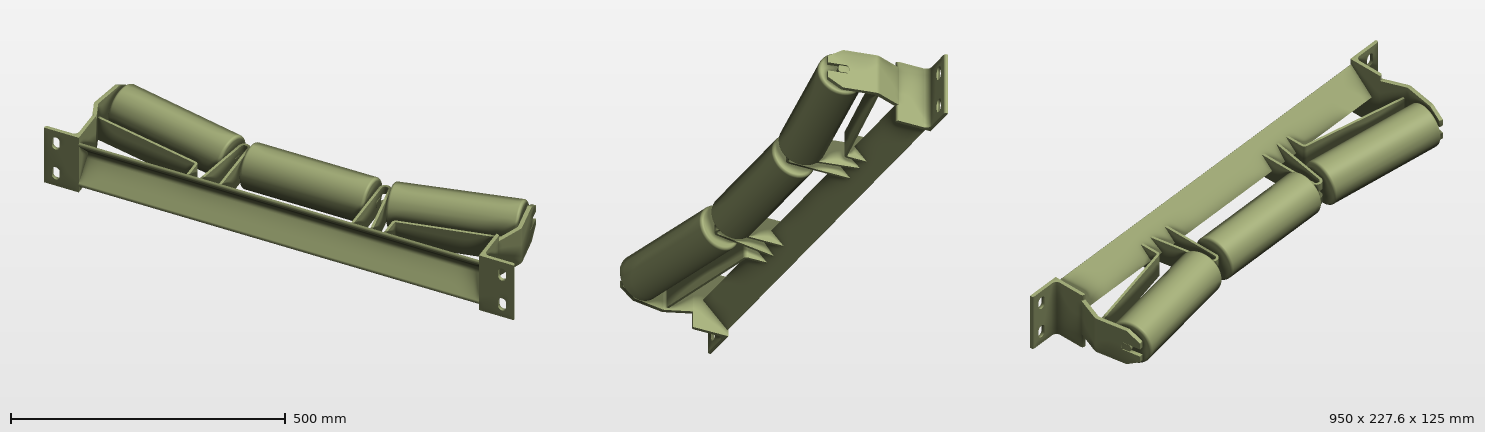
import cadquery as cq
import math


TOTAL_LENGTH = 950
TROUGH_ANGLE = 10
TILT_ANGLE = 2.3

IRON_THICKNESS = 7.0
IRON_ROOT_RADIUS = 10.0
IRON_TOE_RADIUS = 5.0

BEAM_LEG = 71.0
BEAM_APEX_Y = 52.0
BEAM_LENGTH = 809.0

FOOT_HEIGHT = 125.0
FOOT_UPRIGHT = 72.0
FOOT_WIDTH = (TOTAL_LENGTH - BEAM_LENGTH) / 2
SLOT_WIDTH = 16.0
SLOT_LENGTH = 28.0
SLOT_PITCH = 68.0
SLOT_INSET = 24.0

ROLLER_RADIUS = 45.0
ROLLER_LENGTH = 250.0
ROLLER_EDGE_RADIUS = 6.0
CENTER_ROLLER_Y = 135.0
SIDE_ROLLER_CENTER = (-284.0, 161.5, 5.0)
SHAFT_RADIUS = 10.0
SHAFT_FLAT_WIDTH = 14.0
SHAFT_LENGTH = 274.0
SHAFT_ROUND_LENGTH = 256.5
SIDE_SHAFT_SHIFT = 2.0
SLOT_CUT_LENGTH = SHAFT_LENGTH + 19
SLOT_CUT_DEPTH = 2 * ROLLER_RADIUS
SHAFT_SLOT_WIDTH = 17.0

STRIP_THICKNESS = 5.0
STRIP_WIDTH = 50.0
HOOP_RADIUS = 9.0
HOOP_CENTER = (-142.5, 149.0)
STRUT_FOOT_X = -199.5
STRUT_FOLD_Y = 69.0
STRUT_FOLD_RADIUS = 3.0
STRUT_END = (-421.0, 116.0)

CHEEK_THICKNESS = 8.0
CHEEK_WIDTH = 80.0
CHEEK_CENTER_Z = 10.0
CHEEK_PATH = [(-408.5, 70.0), (-428.0, 122.0)]
CHEEK_TOP_Y = 215.0
CHEEK_BEND_RADIUS = 8.0
CHEEK_CORNER_LENGTH = 28.0
CHEEK_CORNER_DEPTH = 17.0

trough = math.radians(TROUGH_ANGLE)


def mirrored(body):
    return body.mirror("YZ")


def angle_iron(leg_a, leg_b, length):
    """L section with its outer corner at the origin and legs along +X and +Y, extruded along +Z."""
    iron = (
        cq.Workplane("XY")
        .polyline([
            (0, 0),
            (leg_a, 0),
            (leg_a, IRON_THICKNESS),
            (IRON_THICKNESS, IRON_THICKNESS),
            (IRON_THICKNESS, leg_b),
            (0, leg_b),
        ])
        .close()
        .extrude(length)
    )
    root = cq.NearestToPointSelector((IRON_THICKNESS, IRON_THICKNESS, length / 2))
    toe_a = cq.NearestToPointSelector((leg_a, IRON_THICKNESS, length / 2))
    toe_b = cq.NearestToPointSelector((IRON_THICKNESS, leg_b, length / 2))
    iron = iron.edges("|Z").edges(root).fillet(IRON_ROOT_RADIUS)
    iron = iron.edges("|Z").edges(toe_a).fillet(IRON_TOE_RADIUS)
    return iron.edges("|Z").edges(toe_b).fillet(IRON_TOE_RADIUS)


def bent_strip(path, thickness, width, center_z=0):
    """Sheet strip of the given width (along Z) whose mid-line follows the XY path, mitred at folds."""
    headings = [math.atan2(q[1] - p[1], q[0] - p[0]) for p, q in zip(path, path[1:])]
    starts = headings[:1] + headings
    ends = headings + headings[-1:]
    left, right = [], []
    for (x, y), before, after in zip(path, starts, ends):
        normal = (before + after + math.pi) / 2
        reach = thickness / 2 / math.cos((after - before) / 2)
        left.append((x + reach * math.cos(normal), y + reach * math.sin(normal)))
        right.append((x - reach * math.cos(normal), y - reach * math.sin(normal)))
    outline = left + right[::-1]
    return (
        cq.Workplane("XY", origin=(0, 0, center_z - width / 2))
        .polyline(outline).close().extrude(width)
    )


def round_bar(length):
    return cq.Workplane("YZ", origin=(-length / 2, 0, 0)).circle(SHAFT_RADIUS).extrude(length)


def roller():
    shell = (
        cq.Workplane("YZ", origin=(-ROLLER_LENGTH / 2, 0, 0))
        .circle(ROLLER_RADIUS).extrude(ROLLER_LENGTH)
    )
    shell = shell.edges().fillet(ROLLER_EDGE_RADIUS)
    return shell.cut(round_bar(ROLLER_LENGTH))


def shaft():
    """Round shaft with two flats on each end."""
    flat_bar = round_bar(SHAFT_LENGTH).intersect(
        cq.Workplane("XY").box(SHAFT_LENGTH, 2 * SHAFT_RADIUS, SHAFT_FLAT_WIDTH)
    )
    return flat_bar.union(round_bar(SHAFT_ROUND_LENGTH))


def shaft_slot():
    """Slot along the whole shaft, rounded below the shaft and open toward +Y."""
    seat = round_bar(SLOT_CUT_LENGTH).intersect(
        cq.Workplane("XY").box(SLOT_CUT_LENGTH, 2 * SHAFT_RADIUS, SHAFT_SLOT_WIDTH)
    )
    opening = cq.Workplane("XY").box(
        SLOT_CUT_LENGTH, SLOT_CUT_DEPTH, SHAFT_SLOT_WIDTH, centered=(True, False, True)
    )
    return seat.union(opening)


def place_left(body):
    return (
        body.rotate((0, 0, 0), (0, 1, 0), TILT_ANGLE)
        .rotate((0, 0, 0), (0, 0, 1), -TROUGH_ANGLE)
        .translate(SIDE_ROLLER_CENTER)
    )


def place_center(body):
    return body.translate((0, CENTER_ROLLER_Y, 0))


def place_right(body):
    return mirrored(place_left(body))


def crossbeam_iron():
    iron = angle_iron(BEAM_LEG, BEAM_LEG, BEAM_LENGTH)
    return (
        iron.rotate((0, 0, 0), (0, 1, 0), 90)
        .rotate((0, 0, 0), (1, 0, 0), -135)
        .translate((-BEAM_LENGTH / 2, BEAM_APEX_Y, 0))
    )


def beam_envelope():
    """Everything behind the two outer faces of the crossbeam."""
    return (
        cq.Workplane("YZ")
        .polyline([(BEAM_APEX_Y, 0), (-BEAM_APEX_Y, 2 * BEAM_APEX_Y), (-BEAM_APEX_Y, -2 * BEAM_APEX_Y)])
        .close()
        .extrude(TOTAL_LENGTH / 2, both=True)
    )


def middle_support():
    """Hoop strip: a straight leg by the center roller and a leg square to the side roller."""
    cx, cy = HOOP_CENTER

    def on_arc(radius, angle):
        return (cx + radius * math.cos(angle), cy + radius * math.sin(angle))

    outer = HOOP_RADIUS + STRIP_THICKNESS / 2
    inner = HOOP_RADIUS - STRIP_THICKNESS / 2
    slant = math.pi - trough
    leg = cy / math.cos(trough)

    def slanted_foot(radius):
        x, y = on_arc(radius, slant)
        return (x - leg * math.sin(trough), y - leg * math.cos(trough))

    return (
        cq.Workplane("XY", origin=(0, 0, -STRIP_WIDTH / 2))
        .moveTo(cx + outer, 0)
        .lineTo(cx + outer, cy)
        .threePointArc(on_arc(outer, math.pi / 2), on_arc(outer, slant))
        .lineTo(*slanted_foot(outer))
        .lineTo(*slanted_foot(inner))
        .lineTo(*on_arc(inner, slant))
        .threePointArc(on_arc(inner, math.pi / 2), (cx + inner, cy))
        .lineTo(cx + inner, 0)
        .close()
        .extrude(STRIP_WIDTH)
    )


def strut():
    path = [(STRUT_FOOT_X, 0), (STRUT_FOOT_X, STRUT_FOLD_Y), STRUT_END]
    strip = bent_strip(path, STRIP_THICKNESS, STRIP_WIDTH)
    for offset, radius in ((0.5, STRUT_FOLD_RADIUS + STRIP_THICKNESS), (-0.5, STRUT_FOLD_RADIUS)):
        corner = (STRUT_FOOT_X + offset * STRIP_THICKNESS, STRUT_FOLD_Y + offset * STRIP_THICKNESS, 0)
        strip = strip.edges("|Z").edges(cq.NearestToPointSelector(corner)).fillet(radius)
    return strip


def foot():
    iron = angle_iron(FOOT_WIDTH, FOOT_UPRIGHT, FOOT_HEIGHT)
    iron = iron.mirror("YZ").translate((-BEAM_LENGTH / 2, 0, -FOOT_HEIGHT / 2))
    slots = (
        cq.Workplane("XZ", origin=(-TOTAL_LENGTH / 2 + SLOT_INSET, 0, 0))
        .pushPoints([(0, -SLOT_PITCH / 2), (0, SLOT_PITCH / 2)])
        .slot2D(SLOT_LENGTH, SLOT_WIDTH, 90)
        .extrude(IRON_THICKNESS * 4, both=True)
    )
    return iron.cut(slots)


def cheek():
    bend_x, bend_y = CHEEK_PATH[-1]
    top = (bend_x + (CHEEK_TOP_Y - bend_y) * math.tan(trough), CHEEK_TOP_Y)
    plate = bent_strip(CHEEK_PATH + [top], CHEEK_THICKNESS, CHEEK_WIDTH, CHEEK_CENTER_Z)
    for offset, radius in ((0.5, CHEEK_BEND_RADIUS), (-0.5, CHEEK_BEND_RADIUS + CHEEK_THICKNESS)):
        corner = (bend_x + offset * CHEEK_THICKNESS, bend_y, CHEEK_CENTER_Z)
        plate = plate.edges("|Z").edges(cq.NearestToPointSelector(corner)).fillet(radius)
    half = CHEEK_WIDTH / 2
    shoulder_y = CHEEK_TOP_Y - CHEEK_CORNER_LENGTH
    for side in (-1, 1):
        corner_cut = (
            cq.Workplane("YZ", origin=(-TOTAL_LENGTH / 2, 0, CHEEK_CENTER_Z))
            .polyline([
                (shoulder_y, side * half),
                (shoulder_y + 2 * CHEEK_CORNER_LENGTH, side * (half - 2 * CHEEK_CORNER_DEPTH)),
                (shoulder_y + 2 * CHEEK_CORNER_LENGTH, side * half),
            ])
            .close()
            .extrude(TOTAL_LENGTH / 2)
        )
        plate = plate.cut(corner_cut)
    return plate


def end_bracket():
    """The -X end bracket: foot and cheek in one piece, slotted for the side shaft."""
    return foot().union(cheek()).cut(place_left(shaft_slot()))


def crossbeam(left_bracket):
    """Beam with the hoops and struts welded to it; the struts end against the brackets."""
    left_supports = middle_support().union(strut())
    left_supports = (
        left_supports.cut(beam_envelope())
        .cut(left_bracket)
        .cut(place_left(shaft_slot()))
        .cut(place_center(shaft_slot()))
    )
    return crossbeam_iron().union(left_supports).union(mirrored(left_supports))


left_bracket = end_bracket()
brackets = [left_bracket, mirrored(left_bracket)]
beam = crossbeam(left_bracket)

rollers = []
shafts = []
for place, shift in ((place_left, -SIDE_SHAFT_SHIFT), (place_center, 0), (place_right, -SIDE_SHAFT_SHIFT)):
    rollers.append(place(roller()))
    shafts.append(place(shaft().translate((shift, 0, 0))))

bodies = [beam, *brackets, *rollers, *shafts]
result = cq.Compound.makeCompound([body.val() for body in bodies])